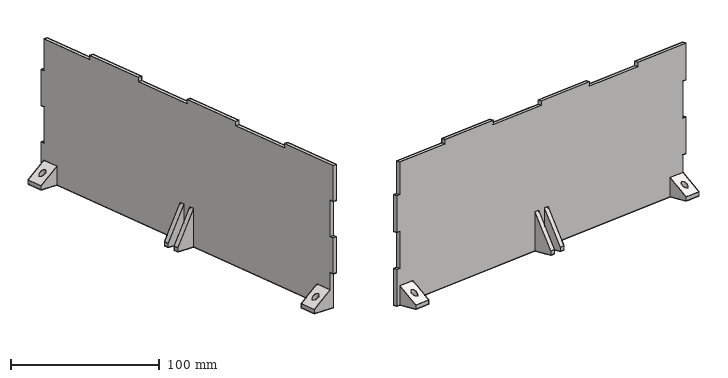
import cadquery as cq

length = 308.0
height = 105.0
thickness = 3.0
tab_depth = 3.0
top_divisions = 6
side_divisions = 4

overall_depth = 17.0
projection = overall_depth - thickness
toe_height = 3.0
bracket_width = 14.0
bracket_height = 14.0
hole_diameter = 4.5
rib_thickness = 4.0
rib_height = 28.0
rib_spacing = 10.2

top_pitch = length / top_divisions
side_pitch = height / side_divisions


def make_panel():
    """Panel with alternating finger-joint notches on three edges."""
    panel = cq.Workplane("XY").box(length, thickness, height, centered=False)
    top_notch = cq.Workplane("XY").box(top_pitch, thickness, tab_depth, centered=False)
    side_notch = cq.Workplane("XY").box(tab_depth, thickness, side_pitch, centered=False)
    for i in range(0, top_divisions, 2):
        panel = panel.cut(top_notch.translate((i * top_pitch, 0, height - tab_depth)))
    for i in range(0, side_divisions, 2):
        panel = panel.cut(side_notch.translate((length - tab_depth, 0, i * side_pitch)))
        panel = panel.cut(side_notch.translate((0, 0, (i + 1) * side_pitch)))
    return panel


def make_wedge(left, width, wedge_height):
    """Sloped wedge with a short vertical toe, from X = left to left + width."""
    profile = [(0, 0), (-projection, 0), (-projection, toe_height), (0, wedge_height)]
    return cq.Workplane("YZ").polyline(profile).close().extrude(width).translate((left, 0, 0))


def make_bracket(left):
    """Mounting wedge with a vertical screw hole through its middle."""
    hole = (
        cq.Workplane("XY")
        .center(left + bracket_width / 2, -projection / 2)
        .circle(hole_diameter / 2)
        .extrude(bracket_height)
    )
    return make_wedge(left, bracket_width, bracket_height).cut(hole)


result = make_panel()

for bracket_left in (tab_depth, length - tab_depth - bracket_width):
    result = result.union(make_bracket(bracket_left))

for side in (-1, 1):
    rib_center = length / 2 + side * rib_spacing / 2
    result = result.union(make_wedge(rib_center - rib_thickness / 2, rib_thickness, rib_height))